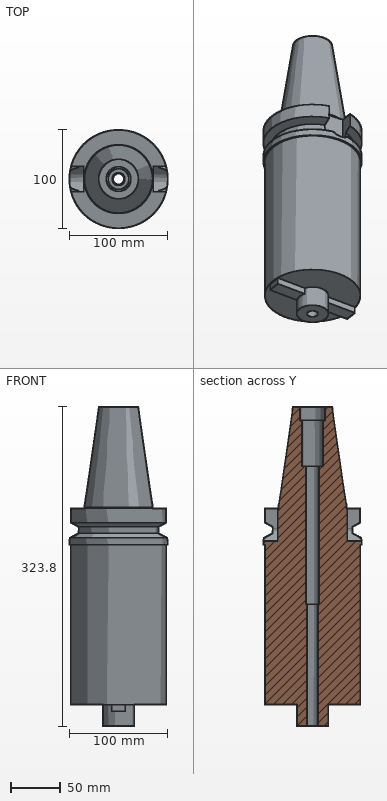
import cadquery as cq
import math


gauge_diameter = 69.85
taper_length = 101.8
taper_ratio = 7 / 24
taper_tip_diameter = gauge_diameter - taper_ratio * taper_length

neck_diameter = 69.0
flange_top_z = -1.0

flange_diameter = 100.0
flange_bottom_z = -38.0
groove_diameter = 85.0
groove_centre_z = -23.2
groove_floor_width = 6.6
groove_wall_angle = 30.0

slot_width = 25.7
slot_floor_distance = 35.4
slot_depth = 33.0

body_diameter = 97.0
body_bottom_z = -200.0
pilot_diameter = 32.0
pilot_length = 22.0
pilot_bottom_z = body_bottom_z - pilot_length
key_width = 14.0
key_height = 7.0
key_end_distance = 47.5

counterbore_diameter = 25.0
counterbore_depth = 13.5
thread_bore_diameter = 21.0
thread_bore_depth = 60.0
coolant_bore_diameter = 13.0
coolant_bore_depth = 200.0
through_hole_diameter = 11.0


def make_turned_blank():
    """Revolve the shank, flange, body and pilot as one half profile."""
    flange_radius = flange_diameter / 2
    groove_radius = groove_diameter / 2
    wall_height = (flange_radius - groove_radius) * math.tan(math.radians(groove_wall_angle))
    floor_half = groove_floor_width / 2
    mouth_half = floor_half + wall_height
    profile = [
        (0, taper_length),
        (taper_tip_diameter / 2, taper_length),
        (gauge_diameter / 2, 0),
        (neck_diameter / 2, 0),
        (neck_diameter / 2, flange_top_z),
        (flange_radius, flange_top_z),
        (flange_radius, groove_centre_z + mouth_half),
        (groove_radius, groove_centre_z + floor_half),
        (groove_radius, groove_centre_z - floor_half),
        (flange_radius, groove_centre_z - mouth_half),
        (flange_radius, flange_bottom_z),
        (body_diameter / 2, flange_bottom_z),
        (body_diameter / 2, body_bottom_z),
        (pilot_diameter / 2, body_bottom_z),
        (pilot_diameter / 2, pilot_bottom_z),
        (0, pilot_bottom_z),
    ]
    half_plane = cq.Plane(origin=(0, 0, 0), xDir=(0, -1, 0), normal=(-1, 0, 0))
    return cq.Workplane(half_plane).polyline(profile).close().revolve(360, (0, 0, 0), (0, 1, 0))


def make_drive_slot(side):
    """Round-bottomed slot cutter on the +X (side = 1) or -X (side = -1) of the flange."""
    half_width = slot_width / 2
    slot_bottom_z = flange_top_z - slot_depth
    arc_start_z = slot_bottom_z + half_width
    return (
        cq.Workplane("YZ", origin=(side * slot_floor_distance, 0, 0))
        .moveTo(-half_width, flange_top_z)
        .lineTo(-half_width, arc_start_z)
        .threePointArc((0, slot_bottom_z), (half_width, arc_start_z))
        .lineTo(half_width, flange_top_z)
        .close()
        .extrude(side * flange_diameter / 2)
    )


def make_drive_keys():
    """Key bar across the body end face along Y, joined through the pilot."""
    return (
        cq.Workplane("XY", origin=(0, 0, body_bottom_z))
        .rect(key_width, 2 * key_end_distance)
        .extrude(-key_height)
    )


def make_bore(diameter, depth):
    """Cylinder reaching down from the taper tip."""
    return cq.Workplane("XY", origin=(0, 0, taper_length)).circle(diameter / 2).extrude(-depth)


result = make_turned_blank().union(make_drive_keys())
for side in (-1, 1):
    result = result.cut(make_drive_slot(side))

bore_steps = (
    (counterbore_diameter, counterbore_depth),
    (thread_bore_diameter, thread_bore_depth),
    (coolant_bore_diameter, coolant_bore_depth),
    (through_hole_diameter, taper_length - pilot_bottom_z),
)
for diameter, depth in bore_steps:
    result = result.cut(make_bore(diameter, depth))